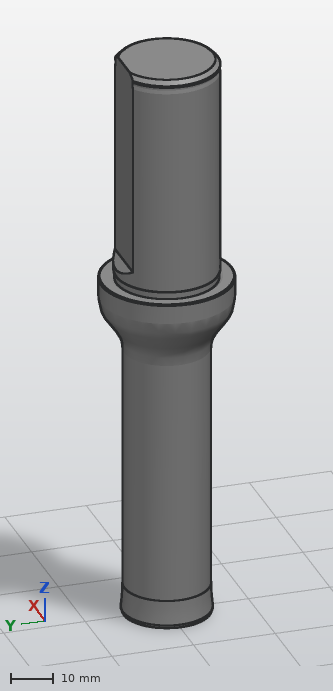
import cadquery as cq
import math

total_length = 142.0
corner_low_z = 0.3
corner_high_z = 1.1
head_length = 7.2
neck_low_z = 67.7
collar_low_z = 81.2
collar_high_z = 86.2

body_radius = 20.7 / 2
collar_radius = 32.0 / 2
shank_radius = 25.0 / 2
groove_radius = 24.5 / 2
head_radius = 10.8
head_corner_chamfer = 0.3

collar_chamfer = 0.3
recess_radius = 13.2
recess_depth = 0.3

relief_height = 1.4
relief_chamfer = shank_radius - groove_radius
top_chamfer_width = 1.1
top_chamfer_height = 1.1
top_land_height = 0.4
ring_groove_floor = 0.9
ring_groove_taper = 0.9

flat_distance = 10.5
flat_low_z = 91.6


def flare_mid_point():
    """Middle of the arc that leaves the body wall tangentially and widens to the head corner."""
    rise = head_length - corner_high_z
    widening = head_radius - body_radius
    arc_radius = (rise**2 + widening**2) / (2 * widening)
    half_angle = math.asin(rise / arc_radius) / 2
    return (
        body_radius + arc_radius * (1 - math.cos(half_angle)),
        head_length - arc_radius * math.sin(half_angle),
    )


def make_cutting_head():
    """Flared head with a chamfered corner and a very blunt conical tip."""
    profile = (
        cq.Workplane("XZ")
        .moveTo(0, 0)
        .lineTo(head_radius - head_corner_chamfer, corner_low_z)
        .lineTo(head_radius, corner_high_z)
        .threePointArc(flare_mid_point(), (body_radius, head_length))
        .lineTo(0, head_length)
        .close()
    )
    return profile.revolve(360, (0, 0), (0, 1))


def make_holder_blank():
    """Turned holder: body, bell-shaped collar and grooved shank."""
    axial = (0, 1)
    relief_top_z = collar_high_z + relief_height
    land_top_z = total_length - top_chamfer_height
    floor_top_z = land_top_z - top_land_height
    floor_low_z = floor_top_z - ring_groove_floor

    profile = (
        cq.Workplane("XZ")
        .moveTo(0, head_length)
        .lineTo(body_radius, head_length)
        .lineTo(body_radius, neck_low_z)
        .spline([(collar_radius, collar_low_z)], tangents=[axial, axial], includeCurrent=True)
        .lineTo(collar_radius, collar_high_z - collar_chamfer)
        .lineTo(collar_radius - collar_chamfer, collar_high_z)
        .lineTo(recess_radius, collar_high_z)
        .lineTo(groove_radius, collar_high_z - recess_depth)
        .lineTo(groove_radius, relief_top_z)
        .lineTo(shank_radius, relief_top_z + relief_chamfer)
        .lineTo(shank_radius, floor_low_z - ring_groove_taper)
        .lineTo(groove_radius, floor_low_z)
        .lineTo(groove_radius, floor_top_z)
        .lineTo(shank_radius, floor_top_z)
        .lineTo(shank_radius, land_top_z)
        .lineTo(shank_radius - top_chamfer_width, total_length)
        .lineTo(0, total_length)
        .close()
    )
    return profile.revolve(360, (0, 0), (0, 1))


def make_flat_cutter():
    """Prism that removes the clamping flat and its sloping lower end."""
    outer_y = shank_radius
    run_out = outer_y - flat_distance
    return (
        cq.Workplane("YZ")
        .moveTo(flat_distance, flat_low_z)
        .lineTo(outer_y, flat_low_z - run_out)
        .lineTo(outer_y, total_length)
        .lineTo(flat_distance, total_length)
        .close()
        .extrude(shank_radius, both=True)
    )


cutting_head = make_cutting_head()
holder = make_holder_blank().cut(make_flat_cutter())

result = cq.Compound.makeCompound([cutting_head.val(), holder.val()])